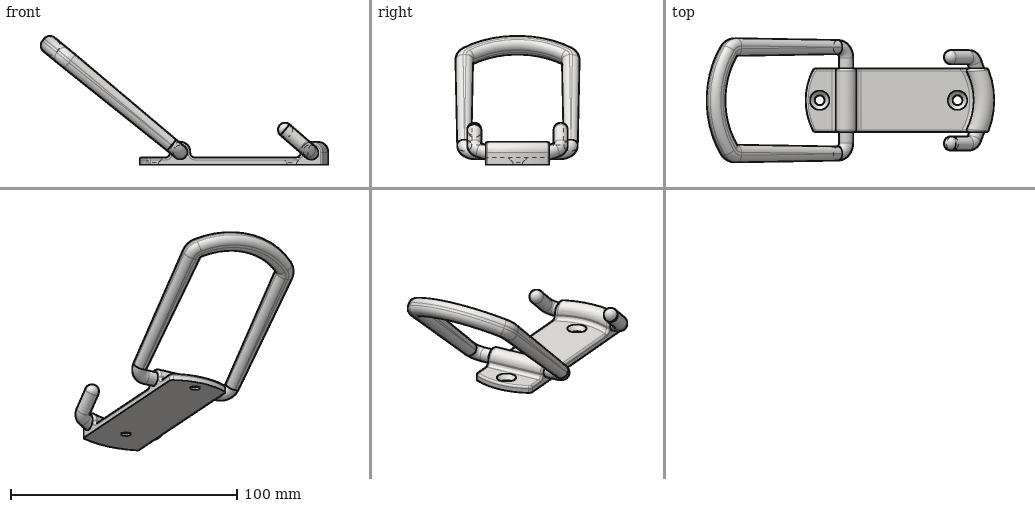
import cadquery as cq
import math

plate_length = 83.5
plate_half_width = 14.1
plate_thickness = 3.3
left_end_radius = 29.3
left_corner_radius = 1.9
edge_radius = 1.0

knuckle_radius = 4.6
knuckle_height = 10.2
knuckle_axis_z = knuckle_height - knuckle_radius
flare_radius = 1.8
hinge_x = 18.0
catch_arc_radius = 32.5
catch_arc_center_x = plate_length - knuckle_radius - catch_arc_radius

hole_positions = (6.2, 67.2)
hole_diameter = 4.2
countersink_diameter = 8.5
countersink_angle = 90

ring_tilt = 39.4
ring_reach = 74.5
ring_half_width = 23.5
ring_bow_radius = 35.7
ring_bend_radius = 4.8
ring_wire_radius = 3.2
grip_width = 7.9
grip_thickness = 7.9
grip_corner_radius = 3.3
arm_root_flat = 0.06

hook_tilt = 41.0
hook_wire_radius = 3.2
hook_half_width = 19.1
hook_bend_radius = 3.8
hook_length = 15.0
hook_embedded_length = 3.8


def make_plate():
    """Flat plate with bowed ends and rounded left corners."""
    left_sag = left_end_radius - math.sqrt(left_end_radius**2 - plate_half_width**2)
    right_end_radius = catch_arc_radius + knuckle_radius
    right_edge_x = catch_arc_center_x + math.sqrt(right_end_radius**2 - plate_half_width**2)
    outline = (
        cq.Workplane("XY")
        .moveTo(left_sag, -plate_half_width)
        .lineTo(right_edge_x, -plate_half_width)
        .threePointArc((plate_length, 0), (right_edge_x, plate_half_width))
        .lineTo(left_sag, plate_half_width)
        .threePointArc((0, 0), (left_sag, -plate_half_width))
        .close()
    )
    return outline.extrude(plate_thickness).edges("|Z").edges("<X").fillet(left_corner_radius)


def knuckle_profile(center, flare_right):
    """Round-topped wall on the XZ plane, flared into the plate on the left and, if asked, on the right."""
    left = center - knuckle_radius
    right = center + knuckle_radius
    flare_top = plate_thickness + flare_radius
    flare_mid = flare_radius * (1 - math.sqrt(0.5))
    profile = (
        cq.Workplane("XZ")
        .moveTo(left - flare_radius, 0)
        .lineTo(left - flare_radius, plate_thickness)
        .threePointArc((left - flare_mid, plate_thickness + flare_mid), (left, flare_top))
        .lineTo(left, knuckle_axis_z)
        .threePointArc((center, knuckle_height), (right, knuckle_axis_z))
    )
    if flare_right:
        profile = (
            profile.lineTo(right, flare_top)
            .threePointArc(
                (right + flare_mid, plate_thickness + flare_mid),
                (right + flare_radius, plate_thickness),
            )
            .lineTo(right + flare_radius, 0)
        )
    else:
        profile = profile.lineTo(right, 0)
    return profile.close()


def make_base():
    """Plate with its straight hinge knuckle, bowed catch knuckle and screw holes."""
    hinge_knuckle = knuckle_profile(hinge_x, True).extrude(plate_half_width, both=True)
    catch_ring = (
        knuckle_profile(catch_arc_radius, False)
        .revolve(360, (0, 0), (0, 1))
        .translate((catch_arc_center_x, 0, 0))
    )
    right_half = cq.Workplane("XY").box(
        plate_length, 2 * plate_half_width, knuckle_height, centered=(False, True, False)
    ).translate((catch_arc_center_x, 0, 0))
    catch_knuckle = catch_ring.intersect(right_half)
    base = make_plate().union(hinge_knuckle).union(catch_knuckle).clean()

    middle_x = (hinge_x + catch_arc_center_x) / 2
    side_edge = cq.selectors.NearestToPointSelector((middle_x, plate_half_width, plate_thickness))
    base = base.edges(side_edge).fillet(edge_radius)

    hole_points = [(x, 0) for x in hole_positions]
    screw_holes = (
        cq.Workplane("XY", origin=(0, 0, plate_thickness))
        .pushPoints(hole_points)
        .circle(hole_diameter / 2)
        .extrude(-plate_thickness)
    )
    countersink_depth = (countersink_diameter - hole_diameter) / 2
    countersinks = (
        cq.Workplane("XY", origin=(0, 0, plate_thickness - countersink_depth))
        .pushPoints(hole_points)
        .circle(hole_diameter / 2)
        .extrude(countersink_depth, taper=-countersink_angle / 2)
    )
    return base.cut(screw_holes).cut(countersinks)


def polar(center, radius, angle):
    """Point at an angle from the -X direction, turning toward +Y."""
    return (
        center[0] - radius * math.cos(angle),
        center[1] + radius * math.sin(angle),
    )


def mirrored(point):
    """Point on the other side of the part's middle plane."""
    return (point[0], -point[1])


def ring_section(width, thickness, corner_radius):
    """Rounded cross-section of the pull ring."""
    return cq.Sketch().rect(width, thickness).vertices().fillet(corner_radius)


def make_ring():
    """Pull ring lying flat toward -X, with the hinge axis through the origin."""
    elbow_center = (-ring_bend_radius, ring_half_width - ring_bend_radius)
    elbow_start = (0, elbow_center[1])
    elbow_middle = polar(elbow_center, ring_bend_radius, math.radians(135))
    arm_start = (-ring_bend_radius, ring_half_width)
    hinge_path = (
        cq.Workplane("XY")
        .moveTo(*arm_start)
        .threePointArc(elbow_middle, elbow_start)
        .lineTo(*mirrored(elbow_start))
        .threePointArc(mirrored(elbow_middle), mirrored(arm_start))
    )
    hinge_wire = (
        cq.Workplane("YZ", origin=(arm_start[0], arm_start[1], 0))
        .circle(ring_wire_radius)
        .sweep(hinge_path)
    )

    bow_center = (ring_bow_radius - ring_reach, 0)
    bend_center_y = ring_half_width - ring_bend_radius
    bend_angle = math.asin(bend_center_y / (ring_bow_radius - ring_bend_radius))
    bend_center = polar(bow_center, ring_bow_radius - ring_bend_radius, bend_angle)
    arm_end = (bend_center[0], ring_half_width)
    bend_middle = polar(bend_center, ring_bend_radius, (bend_angle + math.pi / 2) / 2)
    bow_start = polar(bow_center, ring_bow_radius, bend_angle)
    grip_path = (
        cq.Workplane("XY")
        .moveTo(*arm_end)
        .threePointArc(bend_middle, bow_start)
        .threePointArc((-ring_reach, 0), mirrored(bow_start))
        .threePointArc(mirrored(bend_middle), mirrored(arm_end))
    )
    grip_section = ring_section(grip_width, grip_thickness, grip_corner_radius)
    grip = (
        cq.Workplane("YZ", origin=(arm_end[0], arm_end[1], 0))
        .placeSketch(grip_section)
        .sweep(grip_path)
    )

    root_size = 2 * ring_wire_radius
    root_section = ring_section(root_size, root_size, ring_wire_radius - arm_root_flat / 2)
    arm_length = arm_start[0] - arm_end[0]
    arm = (
        cq.Workplane("YZ", origin=(arm_end[0], arm_end[1], 0))
        .placeSketch(grip_section, root_section.moved(cq.Location(cq.Vector(0, 0, arm_length))))
        .loft()
    )
    return hinge_wire.union(grip).union(arm).union(arm.mirror("XZ"))


def make_hook():
    """One hook arm lying flat toward -X, leaving the side of the catch knuckle at the origin."""
    leave_angle = math.asin(plate_half_width / catch_arc_radius)
    turn_angle = math.pi / 2 - leave_angle
    vertex_y = hook_half_width - plate_half_width
    setback = hook_bend_radius * math.tan(turn_angle / 2)
    bend_end = (-vertex_y * math.tan(leave_angle) - setback, vertex_y)
    bend_center = (bend_end[0], vertex_y - hook_bend_radius)
    bend_start = polar(bend_center, hook_bend_radius, math.pi - leave_angle)
    bend_middle = polar(bend_center, hook_bend_radius, math.pi - leave_angle - turn_angle / 2)
    wire_start = (
        hook_embedded_length * math.sin(leave_angle),
        -hook_embedded_length * math.cos(leave_angle),
    )
    path = (
        cq.Workplane("XY")
        .moveTo(-hook_length, vertex_y)
        .lineTo(*bend_end)
        .threePointArc(bend_middle, bend_start)
        .lineTo(*wire_start)
    )
    tip = (-hook_length, vertex_y, 0)
    wire = cq.Workplane("YZ", origin=tip).circle(hook_wire_radius).sweep(path)
    rounded_tip = cq.Workplane("XY").sphere(hook_wire_radius).translate(tip)
    return wire.union(rounded_tip)


def tilted(wire, tilt):
    """Wire swung up from the plate about the Y axis."""
    return wire.rotate((0, 0, 0), (0, 1, 0), tilt)


ring = tilted(make_ring(), ring_tilt).translate((hinge_x, 0, knuckle_axis_z))

hook_root_x = catch_arc_center_x + math.sqrt(catch_arc_radius**2 - plate_half_width**2)
hook = tilted(make_hook(), hook_tilt).translate((hook_root_x, plate_half_width, knuckle_axis_z))

result = make_base().union(ring).union(hook).union(hook.mirror("XZ"))